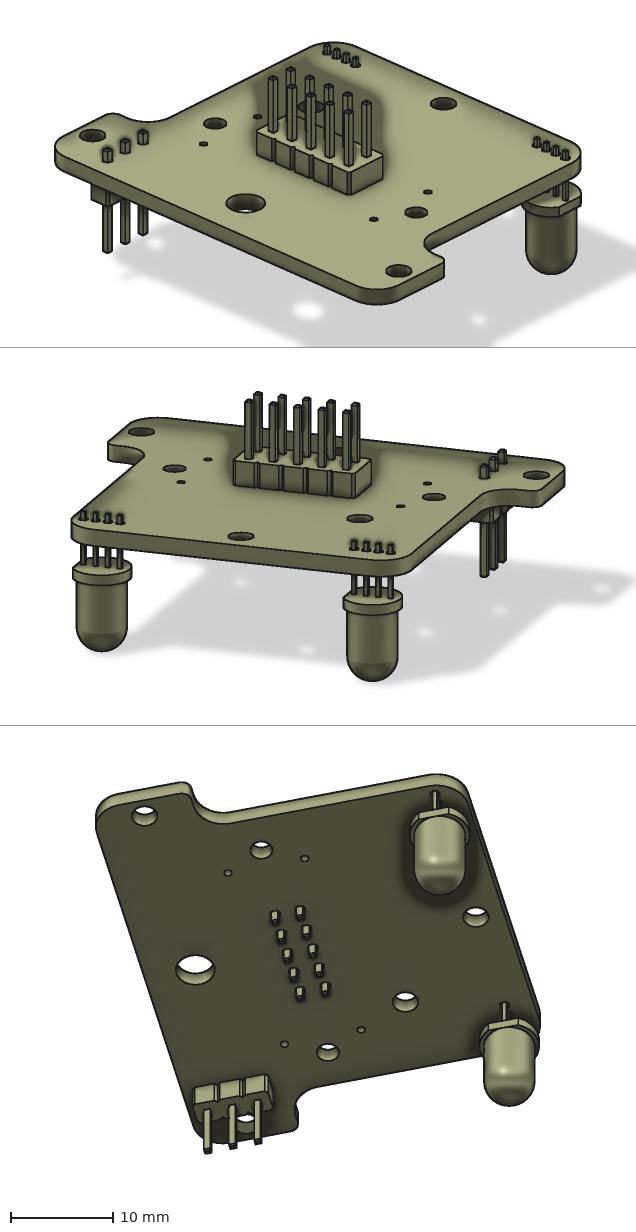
import cadquery as cq

board_thickness = 1.7
board_length = 36.2
base_width = 45.11
base_length = 10.05
upper_width = 35.2
base_corner_radius = 3.0
shoulder_corner_radius = 1.0
inner_corner_radius = 3.0
upper_corner_radius = 3.2

center_hole_diameter = 3.8
mount_hole_diameter = 2.5
side_hole_diameter = 2.2
small_hole_diameter = 0.76
lead_hole_diameter = 0.9
pin_hole_diameter = 1.0

front_hole_y = 5.08
mount_hole_x = 20.55
side_hole_x = 13.5
side_hole_y = 15.1
small_hole_x = 11.43
small_hole_offset_y = 3.87
offset_hole_center = (-9.0, 24.05)
rear_hole_y = 33.4

pin_pitch = 2.54
block_height = 2.54
block_chamfer = 0.28
pin_width = 0.64
pin_tip_chamfer = 0.16
pin_above_block = 6.0
pin_below_block = 3.0

main_header_columns = 5
main_header_rows = 2
main_header_center = (0.0, 15.68)
side_header_columns = 3
side_header_rows = 1
side_header_center = (-16.0, 4.88)

led_diameter = 5.0
led_flange_diameter = 5.84
led_flange_thickness = 1.05
led_height = 8.65
led_gap = 2.95
lead_count = 4
lead_pitch = 1.27
lead_width = 0.4
lead_above_board = 0.8
led_y = 33.36
led_x_positions = (-13.68, 14.5)


def grid(columns, rows, pitch):
    """Points of a grid centred on the origin."""
    return [
        ((column - (columns - 1) / 2) * pitch, (row - (rows - 1) / 2) * pitch)
        for column in range(columns)
        for row in range(rows)
    ]


def shifted(points, center):
    return [(x + center[0], y + center[1]) for x, y in points]


main_pin_points = grid(main_header_columns, main_header_rows, pin_pitch)
side_pin_points = grid(side_header_columns, side_header_rows, pin_pitch)
lead_points = grid(lead_count, 1, lead_pitch)


def make_board():
    base = (
        cq.Workplane("XY")
        .rect(base_width, base_length)
        .extrude(board_thickness)
        .translate((0, base_length / 2, 0))
    )
    upper = (
        cq.Workplane("XY")
        .rect(upper_width, board_length)
        .extrude(board_thickness)
        .translate((0, board_length / 2, 0))
    )
    board = base.union(upper)

    corner_rounds = [
        (base_width / 2, 0, base_corner_radius),
        (base_width / 2, base_length, shoulder_corner_radius),
        (upper_width / 2, base_length, inner_corner_radius),
        (upper_width / 2, board_length, upper_corner_radius),
    ]
    for x, y, radius in corner_rounds:
        for side in (-1, 1):
            corner = cq.selectors.NearestToPointSelector((side * x, y, board_thickness / 2))
            board = board.edges("|Z").edges(corner).fillet(radius)

    side_holes = shifted([(-y, x) for x, y in side_pin_points], side_header_center)
    main_holes = shifted(main_pin_points, main_header_center)
    lead_holes = []
    for led_x in led_x_positions:
        lead_holes += shifted(lead_points, (led_x, led_y))

    hole_groups = [
        (center_hole_diameter, [(0, front_hole_y)]),
        (
            mount_hole_diameter,
            [
                (-mount_hole_x, front_hole_y),
                (mount_hole_x, front_hole_y),
                offset_hole_center,
                (0, rear_hole_y),
            ],
        ),
        (side_hole_diameter, [(-side_hole_x, side_hole_y), (side_hole_x, side_hole_y)]),
        (
            small_hole_diameter,
            [
                (x, side_hole_y + offset)
                for x in (-small_hole_x, small_hole_x)
                for offset in (-small_hole_offset_y, small_hole_offset_y)
            ],
        ),
        (pin_hole_diameter, main_holes + side_holes),
        (lead_hole_diameter, lead_holes),
    ]
    for diameter, points in hole_groups:
        holes = cq.Workplane("XY").pushPoints(points).circle(diameter / 2).extrude(board_thickness)
        board = board.cut(holes)
    return board


def make_header(columns, rows, pin_points):
    """Header standing on Z = 0, with columns along X and its pins going through the block."""
    header = cq.Workplane("XY")
    for column_x, _ in grid(columns, 1, pin_pitch):
        segment = (
            cq.Workplane("XY")
            .rect(pin_pitch, rows * pin_pitch)
            .extrude(block_height)
            .edges("|Z")
            .chamfer(block_chamfer)
        )
        header = header.union(segment.translate((column_x, 0, 0)))

    pin_length = pin_below_block + block_height + pin_above_block
    pin = (
        cq.Workplane("XY")
        .rect(pin_width, pin_width)
        .extrude(pin_length)
        .faces("<Z or >Z")
        .chamfer(pin_tip_chamfer)
    )
    for x, y in pin_points:
        header = header.union(pin.translate((x, y, -pin_below_block)))
    return header


def make_led():
    """Dome-down LED with the top of its flange on Z = 0 and its leads pointing up."""
    radius = led_diameter / 2
    barrel_height = led_height - radius
    dome = cq.Workplane("XY").sphere(radius).translate((0, 0, -barrel_height))
    body = cq.Workplane("XY").circle(radius).extrude(-barrel_height).union(dome)
    flange = cq.Workplane("XY").circle(led_flange_diameter / 2).extrude(-led_flange_thickness)
    flat_keep = (
        cq.Workplane("XY")
        .rect(led_flange_diameter, led_flange_diameter)
        .extrude(-led_flange_thickness)
        .translate((radius - led_flange_diameter / 2, 0, 0))
    )
    lead_length = led_gap + board_thickness + lead_above_board
    leads = cq.Workplane("XY").pushPoints(lead_points).rect(lead_width, lead_width).extrude(lead_length)
    return body.union(flange.intersect(flat_keep)).union(leads)


board = make_board()

main_header = make_header(main_header_columns, main_header_rows, main_pin_points).translate(
    (*main_header_center, board_thickness)
)

side_header = (
    make_header(side_header_columns, side_header_rows, side_pin_points)
    .rotate((0, 0, 0), (1, 0, 0), 180)
    .rotate((0, 0, 0), (0, 0, 1), 90)
    .translate((*side_header_center, 0))
)

leds = [make_led().translate((led_x, led_y, -led_gap)) for led_x in led_x_positions]

result = cq.Compound.makeCompound(
    [board.val(), main_header.val(), side_header.val(), *[led.val() for led in leds]]
)